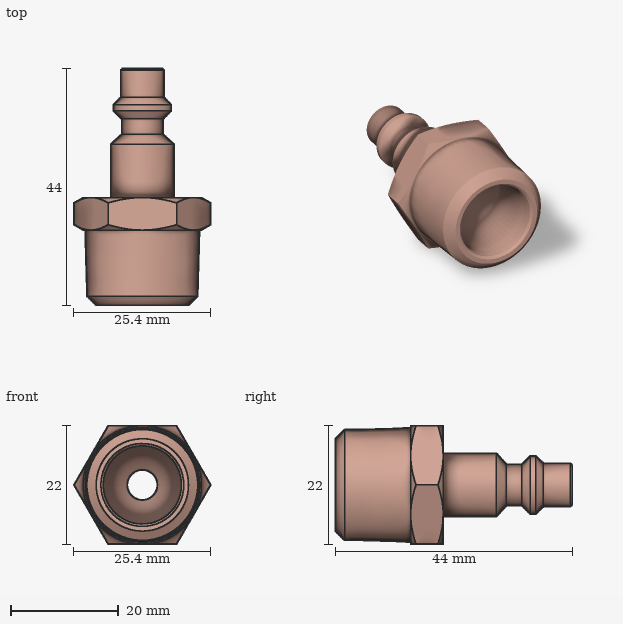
import cadquery as cq
import math

LENGTH = 44.0
THREAD_CHAMFER = 1.7
HEX_START = 14.0
HEX_END = 20.0
SHANK_END = 29.9
NECK_START = 31.75
NECK_END = 34.65
COLLAR_START = 36.15
COLLAR_END = 37.22
TIP_START = 38.65
TIP_CHAMFER = 0.35

THREAD_END_RADIUS = 8.6
THREAD_SMALL_RADIUS = 10.3
THREAD_LARGE_RADIUS = 10.65
SHANK_RADIUS = 5.9
NECK_RADIUS = 3.85
COLLAR_RADIUS = 5.4
TIP_RADIUS = 4.05

HEX_FLATS = 22.0
HEX_CORNERS = HEX_FLATS / math.cos(math.pi / 6)
HEX_CHAMFER_ANGLE = math.radians(30)

MOUTH_RADIUS = 7.7
BORE_RADIUS = 7.25
MOUTH_DEPTH = 0.45
BORE_DEPTH = 12.3
PASSAGE_RADIUS = 2.75
BORE_CONE_END = 14.95


def revolve_profile(points):
    """Turn a closed (radius, y) outline about the Y axis."""
    return cq.Workplane("XY").polyline(points).close().revolve(360, (0, 0, 0), (0, 1, 0))


def turned_body():
    return revolve_profile([
        (0, 0),
        (THREAD_END_RADIUS, 0),
        (THREAD_SMALL_RADIUS, THREAD_CHAMFER),
        (THREAD_LARGE_RADIUS, HEX_START),
        (SHANK_RADIUS, HEX_START),
        (SHANK_RADIUS, SHANK_END),
        (NECK_RADIUS, NECK_START),
        (NECK_RADIUS, NECK_END),
        (COLLAR_RADIUS, COLLAR_START),
        (COLLAR_RADIUS, COLLAR_END),
        (TIP_RADIUS, TIP_START),
        (TIP_RADIUS, LENGTH - TIP_CHAMFER),
        (TIP_RADIUS - TIP_CHAMFER, LENGTH),
        (0, LENGTH),
    ])


def hexagon():
    """Hexagon with corners on X, its corners cut by a cone at each end."""
    prism = (
        cq.Workplane("XZ", origin=(0, HEX_START, 0))
        .polygon(6, HEX_CORNERS)
        .extrude(HEX_START - HEX_END)
    )
    face_radius = HEX_FLATS / 2
    corner_radius = HEX_CORNERS / 2
    drop = (corner_radius - face_radius) * math.tan(HEX_CHAMFER_ANGLE)
    overrun = 0.45
    envelope_radius = corner_radius + overrun
    envelope_drop = drop + overrun * math.tan(HEX_CHAMFER_ANGLE)
    envelope = revolve_profile([
        (0, HEX_START),
        (face_radius, HEX_START),
        (envelope_radius, HEX_START + envelope_drop),
        (envelope_radius, HEX_END - envelope_drop),
        (face_radius, HEX_END),
        (0, HEX_END),
    ])
    return prism.intersect(envelope)


def bore():
    """Chamfered mouth, wide bore and cone leading into the through passage."""
    return revolve_profile([
        (0, 0),
        (MOUTH_RADIUS, 0),
        (BORE_RADIUS, MOUTH_DEPTH),
        (BORE_RADIUS, BORE_DEPTH),
        (PASSAGE_RADIUS, BORE_CONE_END),
        (PASSAGE_RADIUS, LENGTH),
        (0, LENGTH),
    ])


result = turned_body().union(hexagon()).cut(bore())